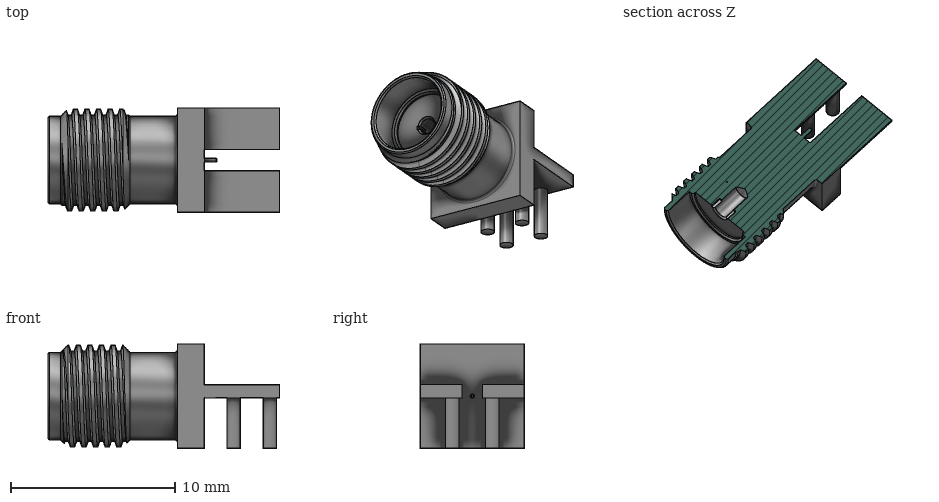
import cadquery as cq
import math

TOTAL_LENGTH = 14.08
FLANGE_SIZE = 6.35
FLANGE_BACK = 9.5
FLANGE_THICKNESS = 1.63
FLANGE_FRONT = FLANGE_BACK - FLANGE_THICKNESS

BARREL_RADIUS = 5.34 / 2
NOSE_CHAMFER = 0.08
BARREL_FILLET = 0.15

THREAD_RADIUS = 6.2 / 2
THREAD_ROOT_RADIUS = 2.75
THREAD_START = 0.77
THREAD_END = 4.98
THREAD_PITCH = 0.7
ROOT_FLAT = 0.21
GROOVE_MOUTH = 0.46
GROOVE_TOP_OFFSET = 0.08
CUT_CLEARANCE = 0.14

BORE_RADIUS = 4.65 / 2
BORE_CHAMFER = 0.1
BORE_DEPTH = 1.95
INSULATOR_RADIUS = 4.05 / 2
INSULATOR_CHAMFER = 0.11
INSULATOR_RECESS = 0.21
INSULATOR_DEPTH = BORE_DEPTH + INSULATOR_RECESS

CONTACT_RADIUS = 0.97 / 2
CONTACT_CHAMFER = 0.11
CONTACT_DEPTH = 1.97
DRILL_POINT_DEPTH = 0.28
CONTACT_SLOT_LENGTH = 1.32
CONTACT_SLOT_WIDTH = 0.21
CONTACT_SLOT_DEPTH = 0.7

TAB_TOP = 0.7
TAB_THICKNESS = 0.82
TAB_GAP = 1.27
LEG_RADIUS = 0.82 / 2
LEG_X = (11.29, 13.49)
LEG_Y = 1.22
PIN_RADIUS = 0.25 / 2
PIN_LENGTH = 0.77
PIN_CHAMFER = 0.05


def revolve_about_x(outline):
    """Revolve a closed (x, radius) outline about the connector axis."""
    return cq.Workplane("XY").polyline(outline).close().revolve(360, (0, 0, 0), (1, 0, 0))


def make_barrel_and_flange():
    thread_height = THREAD_RADIUS - BARREL_RADIUS
    barrel = revolve_about_x([
        (0, 0),
        (0, BARREL_RADIUS - NOSE_CHAMFER),
        (NOSE_CHAMFER, BARREL_RADIUS),
        (THREAD_START, BARREL_RADIUS),
        (THREAD_START + thread_height, THREAD_RADIUS),
        (THREAD_END - thread_height, THREAD_RADIUS),
        (THREAD_END, BARREL_RADIUS),
        (FLANGE_FRONT, BARREL_RADIUS),
        (FLANGE_FRONT, 0),
    ])
    flange = cq.Workplane("YZ", origin=(FLANGE_FRONT, 0, 0)).rect(FLANGE_SIZE, FLANGE_SIZE)
    flange = flange.extrude(FLANGE_THICKNESS)
    seam_margin = BARREL_RADIUS + CUT_CLEARANCE
    seam = cq.selectors.BoxSelector(
        (FLANGE_FRONT - CUT_CLEARANCE, -seam_margin, -seam_margin),
        (FLANGE_FRONT + CUT_CLEARANCE, seam_margin, seam_margin),
        boundingbox=True,
    )
    return barrel.union(flange).edges(seam).fillet(BARREL_FILLET)


def make_groove_turn():
    """One turn of the right-handed trapezoidal groove, built along Z and then laid along X."""
    helix = cq.Wire.makeHelix(THREAD_PITCH, THREAD_PITCH, THREAD_ROOT_RADIUS)
    flank_slope = (GROOVE_MOUTH - ROOT_FLAT) / 2 / (THREAD_RADIUS - THREAD_ROOT_RADIUS)
    outer_half = GROOVE_MOUTH / 2 + flank_slope * CUT_CLEARANCE
    outer_radius = THREAD_RADIUS + CUT_CLEARANCE
    groove = (
        cq.Workplane("XZ")
        .polyline([
            (THREAD_ROOT_RADIUS, -ROOT_FLAT / 2),
            (outer_radius, -outer_half),
            (outer_radius, outer_half),
            (THREAD_ROOT_RADIUS, ROOT_FLAT / 2),
        ])
        .close()
        .sweep(cq.Workplane(obj=helix), isFrenet=True)
    )
    groove = groove.rotate((0, 0, 0), (0, 1, 0), 90)
    return groove.translate((GROOVE_TOP_OFFSET - THREAD_PITCH / 2, 0, 0))


def cut_thread(body):
    """Cut the groove one turn at a time, running out past both ends of the thread."""
    groove_turn = make_groove_turn()
    turns = math.ceil((THREAD_END - GROOVE_TOP_OFFSET) / THREAD_PITCH) + 1
    for turn in range(turns):
        body = body.cut(groove_turn.translate((turn * THREAD_PITCH, 0, 0)))
    return body


def make_socket():
    return revolve_about_x([
        (0, 0),
        (0, BORE_RADIUS + BORE_CHAMFER),
        (BORE_CHAMFER, BORE_RADIUS),
        (BORE_DEPTH, BORE_RADIUS),
        (BORE_DEPTH, INSULATOR_RADIUS + INSULATOR_CHAMFER),
        (BORE_DEPTH + INSULATOR_CHAMFER, INSULATOR_RADIUS),
        (INSULATOR_DEPTH, INSULATOR_RADIUS),
        (INSULATOR_DEPTH, 0),
    ])


def make_contact_hole():
    hole_end = INSULATOR_DEPTH + CONTACT_DEPTH
    hole = revolve_about_x([
        (INSULATOR_DEPTH, 0),
        (INSULATOR_DEPTH, CONTACT_RADIUS + CONTACT_CHAMFER),
        (INSULATOR_DEPTH + CONTACT_CHAMFER, CONTACT_RADIUS),
        (hole_end, CONTACT_RADIUS),
        (hole_end + DRILL_POINT_DEPTH, 0),
    ])
    slot = cq.Workplane("YZ", origin=(INSULATOR_DEPTH, 0, 0))
    slot = slot.rect(CONTACT_SLOT_LENGTH, CONTACT_SLOT_WIDTH).extrude(CONTACT_SLOT_DEPTH)
    return hole.union(slot)


def make_tab(side):
    """One rear tab with its two legs; side is +1 or -1 along Y."""
    tab_width = (FLANGE_SIZE - TAB_GAP) / 2
    tab_bottom = TAB_TOP - TAB_THICKNESS
    tab = cq.Workplane("XY").box(
        TOTAL_LENGTH - FLANGE_BACK, tab_width, TAB_THICKNESS, centered=(False, True, False)
    )
    tab = tab.translate((FLANGE_BACK, side * (TAB_GAP + tab_width) / 2, tab_bottom))
    legs = (
        cq.Workplane("XY", origin=(0, 0, -FLANGE_SIZE / 2))
        .pushPoints([(x, side * LEG_Y) for x in LEG_X])
        .circle(LEG_RADIUS)
        .extrude(FLANGE_SIZE / 2 + tab_bottom)
    )
    return tab.union(legs)


def make_centre_pin():
    pin = cq.Workplane("YZ", origin=(FLANGE_BACK, 0, 0)).circle(PIN_RADIUS).extrude(PIN_LENGTH)
    return pin.faces(">X").chamfer(PIN_CHAMFER)


result = cut_thread(make_barrel_and_flange())
result = result.cut(make_socket())
result = result.cut(make_contact_hole())
for tab_side in (-1, 1):
    result = result.union(make_tab(tab_side))
result = result.union(make_centre_pin())